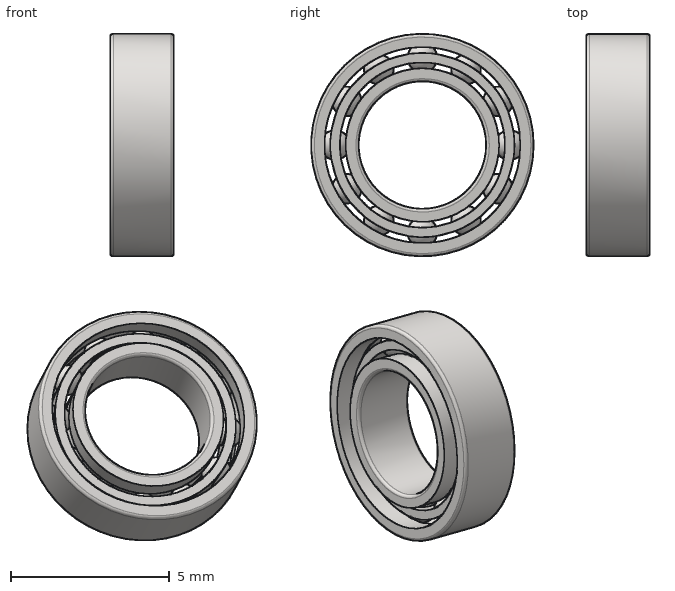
import cadquery as cq

outer_diameter = 7.01
bore_diameter = 4.0
width = 2.01
edge_round = 0.1

pitch_radius = 2.75
ball_radius = 0.47
ball_count = 12

ring_gap = 0.665
cage_thickness = 0.3
cage_width = 1.135


def tube(outer_radius, inner_radius, length):
    """Plain tube along X, centred on the origin."""
    return (
        cq.Workplane("YZ", origin=(-length / 2, 0, 0))
        .circle(outer_radius)
        .circle(inner_radius)
        .extrude(length)
    )


def ball_track():
    """Torus swept by the balls, which cuts the raceway in each ring."""
    return cq.Workplane(
        cq.Solid.makeTorus(pitch_radius, ball_radius, cq.Vector(0, 0, 0), cq.Vector(1, 0, 0))
    )


def make_outer_ring():
    ring = tube(outer_diameter / 2, pitch_radius + ring_gap / 2, width)
    rim_edges = ring.faces("<X or >X").edges(cq.selectors.RadiusNthSelector(-1))
    return rim_edges.fillet(edge_round).cut(ball_track())


def make_inner_ring():
    ring = tube(pitch_radius - ring_gap / 2, bore_diameter / 2, width)
    bore_edges = ring.faces("<X or >X").edges(cq.selectors.RadiusNthSelector(0))
    return bore_edges.fillet(edge_round).cut(ball_track())


def make_ball_cage():
    """Cage band and the balls it carries, joined as one body."""
    cage = tube(pitch_radius + cage_thickness / 2, pitch_radius - cage_thickness / 2, cage_width)
    for index in range(ball_count):
        angle = index * 360.0 / ball_count
        ball = (
            cq.Workplane("XY")
            .sphere(ball_radius)
            .translate((0, 0, pitch_radius))
            .rotate((0, 0, 0), (1, 0, 0), angle)
        )
        cage = cage.union(ball)
    return cage


outer_ring = make_outer_ring()
inner_ring = make_inner_ring()
ball_cage = make_ball_cage()

result = cq.Compound.makeCompound(
    [outer_ring.solids().val(), inner_ring.solids().val(), ball_cage.solids().val()]
)